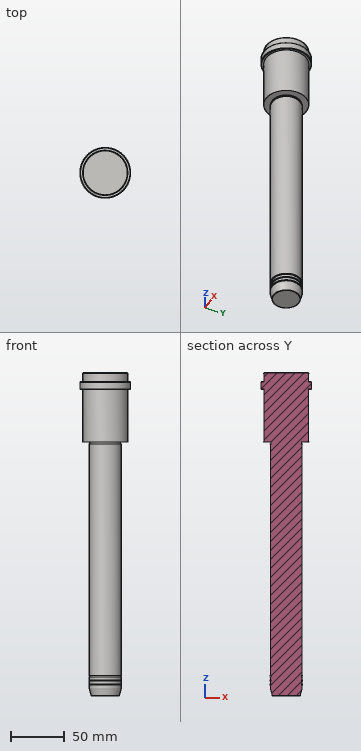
import cadquery as cq

total_length = 300.0

head_diameter = 42.0
head_length = 64.5
top_chamfer = 0.5

collar_diameter = 47.0
collar_width = 7.2
collar_chamfer = 0.5
collar_top_depth = 8.5

shaft_diameter = 30.0
relief_diameter = 28.8
relief_length = 1.8

groove_count = 3
groove_pitch = 4.0
groove_radius = 0.55
lowest_groove_height = 10.5

nose_length = 7.2
nose_end_diameter = 26.0
nose_chamfer = 0.3

head_bottom = total_length - head_length
relief_bottom = head_bottom - relief_length
collar_bottom = total_length - collar_top_depth - collar_width


def disc(diameter, bottom, height):
    """Solid cylinder on the Z axis, starting at the given height."""
    return cq.Workplane("XY", origin=(0, 0, bottom)).circle(diameter / 2).extrude(height)


def make_nose():
    """Tapered lower end, narrowing towards its chamfered bottom face."""
    nose = (
        cq.Workplane("XY")
        .circle(nose_end_diameter / 2)
        .workplane(offset=nose_length)
        .circle(shaft_diameter / 2)
        .loft()
    )
    return nose.faces("<Z").chamfer(nose_chamfer)


def make_groove(centre_height):
    """Ring of round section, centred on the shaft surface."""
    return cq.Workplane(cq.Solid.makeTorus(shaft_diameter / 2, groove_radius, cq.Vector(0, 0, centre_height)))


head = disc(head_diameter, head_bottom, head_length).faces(">Z").chamfer(top_chamfer)
collar = disc(collar_diameter, collar_bottom, collar_width).faces("|Z").chamfer(collar_chamfer)
relief = disc(relief_diameter, relief_bottom, relief_length)
shaft = disc(shaft_diameter, nose_length, relief_bottom - nose_length)

result = shaft.union(relief).union(head).union(collar).union(make_nose())
for index in range(groove_count):
    result = result.cut(make_groove(lowest_groove_height + index * groove_pitch))